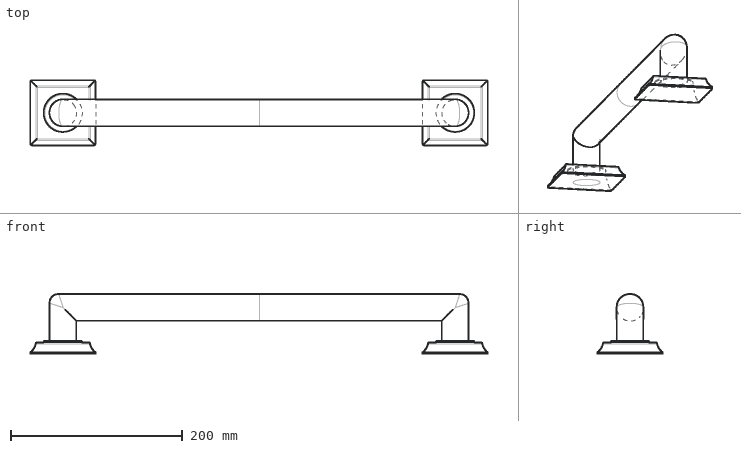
import cadquery as cq
import math

length = 533.5
height = 70.0

plate_side = 76.5
plate_rim = 1.5
plate_corner_radius = 2.5
cove_side = 68.5
cove_z = 6.0
shoulder_side = 63.5
shoulder_z = 12.0
edge_side = 62.5
edge_z = 13.0
top_side = 60.0
plate_top = 13.5

collar_diameter = 45.0
collar_top = 15.0
collar_edge_radius = 1.0

tube_diameter = 31.5
tube_radius = tube_diameter / 2
corner_fillet = 10.5
core_overlap = 2.5

leg_x = (length - plate_side) / 2
bar_z = height - tube_radius


def mounting_plate():
    """Square plate with concave sides, a rounded top edge and a round collar."""
    rim_half = plate_side / 2
    shoulder_half = shoulder_side / 2
    top_half = top_side / 2
    profile = (
        cq.Workplane("XZ")
        .lineTo(rim_half, 0)
        .lineTo(rim_half, plate_rim)
        .threePointArc((cove_side / 2, cove_z), (shoulder_half, shoulder_z))
        .threePointArc((edge_side / 2, edge_z), (top_half, plate_top))
        .lineTo(0, plate_top)
        .close()
        .extrude(rim_half, both=True)
    )
    along_x = profile.union(profile.mirror("YZ"))
    along_y = along_x.rotate((0, 0, 0), (0, 0, 1), 90)
    outline = cq.Workplane("XY").rect(plate_side, plate_side).extrude(plate_top)
    outline = outline.edges("|Z").fillet(plate_corner_radius)
    collar = cq.Workplane("XY").circle(collar_diameter / 2).extrude(collar_top)
    collar = collar.faces(">Z").edges().fillet(collar_edge_radius)
    return along_x.intersect(along_y).intersect(outline).union(collar)


def rounded_wedge():
    """Outside of the left mitre, as swept by a ball rolling inside both tubes.

    The ball centres follow half an ellipse in the mitre plane. It is built at the
    crossing of the two tube axes and trimmed by the planes where the ball touches each tube.
    """
    ellipse_width = tube_radius - corner_fillet
    ellipse_reach = ellipse_width * math.sqrt(2)
    mitre_plane = cq.Plane(origin=(0, 0, 0), xDir=(-1, 0, 1), normal=(1, 0, 1))

    def half_ellipse(margin=0):
        return (
            cq.Workplane(mitre_plane)
            .moveTo(0, -ellipse_width - margin)
            .ellipseArc(
                ellipse_reach + margin, ellipse_width + margin, -90, 90, startAtCurrent=True
            )
        )

    start_plane = cq.Plane(origin=(0, -ellipse_width, 0), xDir=(1, 0, 1), normal=(-1, 0, 1))
    skin = (
        cq.Workplane(start_plane)
        .moveTo(-corner_fillet, 0)
        .threePointArc((0, -corner_fillet), (corner_fillet, 0))
        .close()
        .sweep(half_ellipse())
    )
    core = half_ellipse(core_overlap).close().extrude(corner_fillet, both=True)
    return skin.union(core)


def handle_tube():
    """Round bar and two legs, mitred together with the outside of each corner rounded."""
    contact_rise = tube_radius - corner_fillet
    contact_slope = contact_rise / tube_radius

    def prism(points):
        return cq.Workplane("XZ").polyline(points).close().extrude(tube_diameter, both=True)

    inner_corner = (tube_radius, -tube_radius)
    leg_end = (-tube_radius, contact_rise)
    bar_end = (-contact_rise, tube_radius)
    leg_side = prism([(-tube_radius, -bar_z), leg_end, (0, 0), inner_corner, (tube_radius, -bar_z)])
    bar_side = prism([bar_end, (leg_x, tube_radius), (leg_x, -tube_radius), inner_corner, (0, 0)])
    far = tube_diameter
    wedge_side = prism([(0, 0), (-far, contact_slope * far), (-far, far), (-contact_slope * far, far)])

    leg = cq.Workplane("XY", origin=(0, 0, -bar_z)).circle(tube_radius).extrude(height)
    half_bar = cq.Workplane("YZ", origin=(-tube_radius, 0, 0)).circle(tube_radius)
    half_bar = half_bar.extrude(leg_x + tube_radius)
    half = (
        leg.intersect(leg_side)
        .union(half_bar.intersect(bar_side))
        .union(rounded_wedge().intersect(wedge_side))
        .translate((-leg_x, 0, bar_z))
    )
    return half.union(half.mirror("YZ"))


result = handle_tube()
for side in (-1, 1):
    result = result.union(mounting_plate().translate((side * leg_x, 0, 0)))